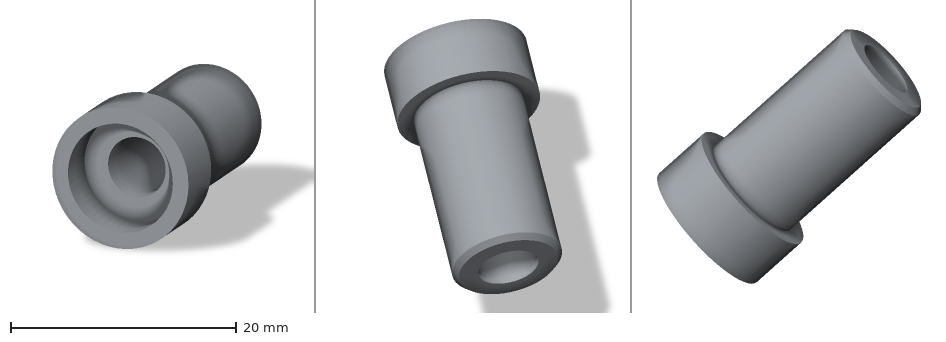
import cadquery as cq

total_length = 22.0
head_diameter = 13.0
head_length = 5.5
shank_diameter = 10.0
tip_chamfer = 0.5
bore_diameter = 5.5
counterbore_diameter = shank_diameter
counterbore_depth = 4.0


def cylinder_along_y(diameter, length):
    """Cylinder on the Y axis, from the head face at Y = 0 towards +Y."""
    return cq.Workplane("XZ").circle(diameter / 2).extrude(-length)


shank = cylinder_along_y(shank_diameter, total_length)
shank = shank.faces(">Y").edges().chamfer(tip_chamfer)

head = cylinder_along_y(head_diameter, head_length)

bore = cylinder_along_y(bore_diameter, total_length)
counterbore = cylinder_along_y(counterbore_diameter, counterbore_depth)

result = head.union(shank).cut(bore).cut(counterbore)